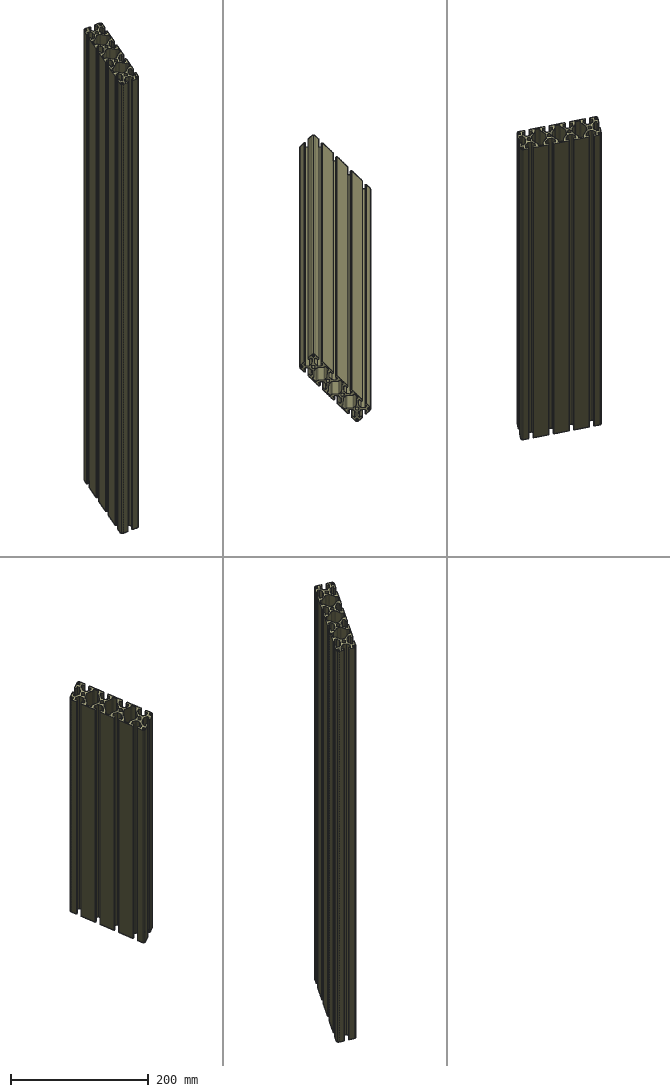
import cadquery as cq

length = 1000.0
width = 120.0
depth = 30.0
module_count = 4
corner_radius = 3.4

slot_opening = 6.2
lip_chamfer = 0.8
lip_thickness = 2.8
lip_inner_radius = 0.7
slot_inner_width = 14.0
slot_straight_depth = 6.0
slot_depth = 9.6
slot_floor_width = 5.6

skin = 1.8
cavity_end_width = 7.5
cavity_straight_depth = 3.1
cavity_fillet = 1.1
core_half_width = 4.6
chamber_size = 2.7

bore_diameter = 5.0

pitch = width / module_count
module_xs = [(i - (module_count - 1) / 2) * pitch for i in range(module_count)]
cavity_xs = [x + pitch / 2 for x in module_xs[:-1]]


def with_mirror_image(half):
    """Complete a right-hand half outline with its mirror image in X."""
    return half + [(-x, y) for x, y in reversed(half)]


def extruded(points):
    """Prism over the full length on a closed outline."""
    return cq.Workplane("XY").polyline(points).close().extrude(length)


def make_slot():
    """Cutter for one T-slot: mouth at y = 0, tapered floor towards -Y."""
    half_opening = slot_opening / 2
    half_inner = slot_inner_width / 2
    half_outline = [
        (slot_floor_width / 2, -slot_depth),
        (half_inner, -slot_straight_depth),
        (half_inner, -lip_thickness),
        (half_opening, -lip_thickness),
        (half_opening, -lip_chamfer),
        (half_opening + lip_chamfer, 0),
    ]
    slot = extruded(with_mirror_image(half_outline))
    for x in (-half_opening, half_opening):
        lip_edge = cq.selectors.NearestToPointSelector((x, -lip_thickness, length / 2))
        slot = slot.edges("|Z").edges(lip_edge).fillet(lip_inner_radius)
    return slot


def make_cavity():
    """Cutter for the diamond-like hollow between two modules, centred on the Z axis."""
    half_end = cavity_end_width / 2
    end_y = depth / 2 - skin
    upper_right = [
        (half_end, end_y),
        (half_end, end_y - cavity_straight_depth),
        (pitch / 2 - core_half_width, slot_floor_width / 2),
    ]
    right_half = upper_right + [(x, -y) for x, y in reversed(upper_right)]
    return extruded(with_mirror_image(right_half)).edges("|Z").fillet(cavity_fillet)


def placed(cutter, x, y, angle=0):
    """Turn a cutter about the Z axis, then move it to (x, y)."""
    return cutter.rotate((0, 0, 0), (0, 0, 1), angle).translate((x, y, 0))


body = cq.Workplane("XY").rect(width, depth).extrude(length)
body = body.edges("|Z").fillet(corner_radius)

slot = make_slot()
for x in module_xs:
    body = body.cut(placed(slot, x, depth / 2))
    body = body.cut(placed(slot, x, -depth / 2, 180))
body = body.cut(placed(slot, width / 2, 0, -90))
body = body.cut(placed(slot, -width / 2, 0, 90))

cavity = make_cavity()
for x in cavity_xs:
    body = body.cut(placed(cavity, x, 0))

chamber_inset = skin + chamber_size / 2
chambers = (
    cq.Workplane("XY")
    .rect(width - 2 * chamber_inset, depth - 2 * chamber_inset, forConstruction=True)
    .vertices()
    .rect(chamber_size, chamber_size)
    .extrude(length)
)
body = body.cut(chambers)

bores = cq.Workplane("XY").pushPoints([(x, 0) for x in module_xs]).circle(bore_diameter / 2).extrude(length)
result = body.cut(bores)